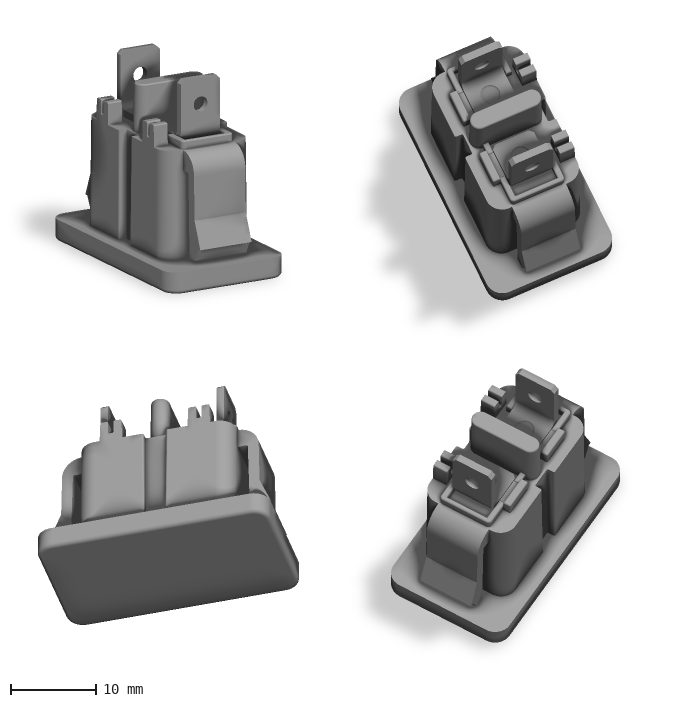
import cadquery as cq
import math

FLANGE_X = 28.3
FLANGE_Y = 16.0
FLANGE_Z = 2.7
FLANGE_CORNER = 2.05
FLANGE_EDGE = 0.48
FLANGE_DROP = 0.08

BODY_X = 19.07
BODY_Y = 12.0
BODY_TOP = 16.02
BODY_CORNER = 2.05
BODY_DRAFT = 0.5
NOTCH_WIDTH = 2.77
NOTCH_FLOOR_Y = 4.9
NOTCH_FILLET = 0.2

OVERLAP = 0.15

RIB_X = 2.45
RIB_Y = 9.23
RIB_TOP = 21.95
RIB_DRAFT = 1.2
RIB_EDGE = 0.2

TERMINAL_TOP = 23.9
TERMINAL_WIDTH = 5.32
TERMINAL_THICKNESS = 0.9
TERMINAL_BEND = 0.85
TERMINAL_CHAMFER = 0.48
BLADE_OUTER_X = 7.53
LEG_END_X = 1.75
BLADE_HOLE = 1.87
BLADE_HOLE_Z = 20.65
DIMPLE_X = 4.27
DIMPLE_TOP = 2.35
DIMPLE_FLOOR = 2.12
DIMPLE_DEPTH = 0.1

FRAME_OUTER_X = 9.25
FRAME_HALF_Y = 3.48
FRAME_END_WALL = 0.6
FRAME_SIDE_WALL = 0.74
FRAME_ARM_X = 5.8
FRAME_TOP = 17.06
FRAME_CORNER = 0.48
FRAME_EDGE = 0.2

TAB_OUTER_X = 6.2
TAB_INNER_X = 2.15
TAB_BACK_Y = 4.45
TAB_TOP = 17.55
PAD_INNER_X = 2.63
PAD_TOP = 16.95

PEG_OUTER_X = 6.74
PEG_INNER_X = 4.0
PEG_DRAFT = 0.08
PEG_BACK_Y = 4.0
PEG_TOP = 18.7
PEG_EDGE = 0.17
FORK_CENTRE_X = 5.38
FORK_WIDTH = 0.65
FORK_FLOOR = 16.92

SNAP_WIDTH = 6.95
SNAP_ROOT_X = 9.2
SNAP_BEND_X = 9.42
SNAP_SHOULDER_X = 12.0
SNAP_SHOULDER_Z = BODY_TOP - (SNAP_SHOULDER_X - SNAP_BEND_X)
SNAP_INNER_TOP = 13.53
SNAP_INNER_TOP_X = 10.67
SNAP_CORNER_FILLET = 0.17
HOOK_START_X = 12.1
HOOK_START_Z = 8.07
HOOK_TIP_X = 13.47
HOOK_TIP_Z = 4.78
HOOK_STEP_X = 13.0
HOOK_STEP_Z = 4.73
SNAP_END_OUTER_X = 12.25
SNAP_END_INNER_X = 10.95
SNAP_END_Z = 3.2


def box(x0, x1, y0, y1, z0, z1):
    """Axis-aligned block between two opposite corners."""
    return cq.Workplane("XY").box(x1 - x0, y1 - y0, z1 - z0, centered=False).translate((x0, y0, z0))


def make_flange():
    """Plate that is level up to the -Y edge of the snap arms and slopes down beyond it."""
    flange = cq.Workplane("XY").box(FLANGE_X, FLANGE_Y, FLANGE_Z, centered=(True, True, False))
    flange = flange.edges("|Z").fillet(FLANGE_CORNER).faces("<Z").edges().fillet(FLANGE_EDGE)
    slope = (
        cq.Workplane("YZ")
        .polyline([
            (-SNAP_WIDTH / 2, FLANGE_Z),
            (FLANGE_Y / 2, FLANGE_Z),
            (FLANGE_Y / 2, FLANGE_Z - FLANGE_DROP),
        ])
        .close()
        .extrude(FLANGE_X / 2, both=True)
    )
    return flange.cut(slope)


def make_block(top):
    """Drafted rounded block from just inside the flange up to the given height."""
    base = FLANGE_Z - OVERLAP
    block = (
        cq.Workplane("XY", origin=(0, 0, base))
        .rect(BODY_X, BODY_Y)
        .extrude(top - base, taper=BODY_DRAFT)
    )
    return block.edges("not(#Z)").fillet(BODY_CORNER)


def make_body():
    """Block with a notch, wider at the top, down the middle of each long side."""
    base = FLANGE_Z - OVERLAP
    notches = (
        cq.Workplane("XY", origin=(0, 0, BODY_TOP))
        .pushPoints([(0, NOTCH_FLOOR_Y + BODY_Y / 2), (0, -NOTCH_FLOOR_Y - BODY_Y / 2)])
        .rect(NOTCH_WIDTH, BODY_Y)
        .extrude(base - BODY_TOP, taper=BODY_DRAFT)
    )
    notch_uprights = cq.selectors.BoxSelector(
        (-NOTCH_WIDTH, -BODY_Y, base + OVERLAP), (NOTCH_WIDTH, BODY_Y, BODY_TOP - OVERLAP)
    )
    return make_block(BODY_TOP).cut(notches).edges(notch_uprights).fillet(NOTCH_FILLET)


def make_rib():
    """Tall drafted wall with round ends, standing between the terminals."""
    rib = (
        cq.Workplane("XY", origin=(0, 0, BODY_TOP - OVERLAP))
        .slot2D(RIB_Y, RIB_X, 90)
        .extrude(RIB_TOP - BODY_TOP + OVERLAP, taper=RIB_DRAFT)
    )
    return rib.faces(">Z").edges().fillet(RIB_EDGE)


def make_terminal():
    """Blade standing on a flat leg, joined by a round bend (+X side)."""
    blade_inner = BLADE_OUTER_X - TERMINAL_THICKNESS
    leg_top = BODY_TOP + TERMINAL_THICKNESS
    outer_bend = TERMINAL_BEND + TERMINAL_THICKNESS
    bend_x = blade_inner - TERMINAL_BEND
    bend_z = leg_top + TERMINAL_BEND
    diagonal = math.sqrt(0.5)
    terminal = (
        cq.Workplane("XZ")
        .moveTo(LEG_END_X, BODY_TOP)
        .lineTo(bend_x, BODY_TOP)
        .threePointArc(
            (bend_x + outer_bend * diagonal, bend_z - outer_bend * diagonal), (BLADE_OUTER_X, bend_z)
        )
        .lineTo(BLADE_OUTER_X, TERMINAL_TOP)
        .lineTo(blade_inner, TERMINAL_TOP)
        .lineTo(blade_inner, bend_z)
        .threePointArc(
            (bend_x + TERMINAL_BEND * diagonal, bend_z - TERMINAL_BEND * diagonal), (bend_x, leg_top)
        )
        .lineTo(LEG_END_X, leg_top)
        .close()
        .extrude(TERMINAL_WIDTH / 2, both=True)
    )
    terminal = terminal.faces(">Z").edges("|X").chamfer(TERMINAL_CHAMFER)
    terminal = terminal.faces("<X").edges("|Z").chamfer(TERMINAL_CHAMFER)
    hole = (
        cq.Workplane("YZ", origin=(blade_inner, 0, BLADE_HOLE_Z))
        .circle(BLADE_HOLE / 2)
        .extrude(TERMINAL_THICKNESS)
    )
    dimple = (
        cq.Workplane("XY", origin=(DIMPLE_X, 0, leg_top - DIMPLE_DEPTH))
        .circle(DIMPLE_FLOOR / 2)
        .workplane(offset=DIMPLE_DEPTH)
        .circle(DIMPLE_TOP / 2)
        .loft()
    )
    return terminal.cut(hole).cut(dimple)


def make_frame():
    """Low wall on three sides of the terminal, its +Y arm running in to the rib (+X side)."""
    base = BODY_TOP - OVERLAP
    inner_y = FRAME_HALF_Y - FRAME_SIDE_WALL
    frame = box(0, FRAME_OUTER_X, -FRAME_HALF_Y, FRAME_HALF_Y, base, FRAME_TOP)
    frame = frame.edges("|Z and >X").fillet(FRAME_CORNER)
    frame = frame.cut(box(0, FRAME_OUTER_X - FRAME_END_WALL, -inner_y, inner_y, base, FRAME_TOP))
    frame = frame.cut(box(0, FRAME_ARM_X, -FRAME_HALF_Y, -inner_y, base, FRAME_TOP))
    frame = frame.cut(box(PAD_INNER_X, FRAME_ARM_X, inner_y, FRAME_HALF_Y, base, FRAME_TOP))
    frame = frame.faces(">Z").edges("not(<X)").fillet(FRAME_EDGE)
    return frame.union(box(PAD_INNER_X, FRAME_ARM_X, inner_y, FRAME_HALF_Y, base, PAD_TOP))


def make_tab():
    """Raised block against the back of the frame (+X side)."""
    tab = box(TAB_INNER_X, TAB_OUTER_X, FRAME_HALF_Y, TAB_BACK_Y, BODY_TOP - OVERLAP, TAB_TOP)
    return tab.edges("|Z and >Y").fillet(FRAME_EDGE).faces(">Z").edges().fillet(FRAME_EDGE)


def make_peg():
    """Drafted peg split into two prongs by a slot, its front flush with the body (+X side)."""
    peg = (
        cq.Workplane("XZ", origin=(0, -PEG_BACK_Y, 0))
        .polyline([
            (PEG_INNER_X, BODY_TOP),
            (PEG_OUTER_X, BODY_TOP),
            (PEG_OUTER_X - PEG_DRAFT, PEG_TOP),
            (PEG_INNER_X + PEG_DRAFT, PEG_TOP),
        ])
        .close()
        .extrude(BODY_Y / 2 - PEG_BACK_Y)
    )
    fork = box(
        FORK_CENTRE_X - FORK_WIDTH / 2, FORK_CENTRE_X + FORK_WIDTH / 2,
        -BODY_Y / 2, -PEG_BACK_Y, FORK_FLOOR, PEG_TOP,
    )
    fork = fork.faces("<Z").edges("|Y").fillet(PEG_EDGE)
    peg = peg.cut(fork).faces(">Z").edges("|Y").fillet(PEG_EDGE)
    return peg.intersect(make_block(PEG_TOP))


def make_snap():
    """Hooked spring arm hanging from the top of the body (+X side)."""
    bend_radius = SNAP_SHOULDER_X - SNAP_BEND_X
    diagonal = bend_radius * math.sqrt(0.5)
    inner_corner = cq.selectors.NearestToPointSelector((SNAP_INNER_TOP_X, 0, SNAP_INNER_TOP))
    snap = (
        cq.Workplane("XZ")
        .moveTo(SNAP_ROOT_X, BODY_TOP)
        .lineTo(SNAP_BEND_X, BODY_TOP)
        .threePointArc(
            (SNAP_BEND_X + diagonal, SNAP_SHOULDER_Z + diagonal), (SNAP_SHOULDER_X, SNAP_SHOULDER_Z)
        )
        .lineTo(HOOK_START_X, HOOK_START_Z)
        .lineTo(HOOK_TIP_X, HOOK_TIP_Z)
        .lineTo(HOOK_STEP_X, HOOK_STEP_Z)
        .lineTo(SNAP_END_OUTER_X, SNAP_END_Z)
        .lineTo(SNAP_END_INNER_X, SNAP_END_Z)
        .lineTo(SNAP_INNER_TOP_X, SNAP_INNER_TOP)
        .lineTo(SNAP_ROOT_X, SNAP_INNER_TOP)
        .close()
        .extrude(SNAP_WIDTH / 2, both=True)
    )
    return snap.edges("|Y").edges(inner_corner).fillet(SNAP_CORNER_FILLET)


result = make_flange().union(make_body()).union(make_rib())
for make_feature in (make_terminal, make_frame, make_tab, make_peg, make_snap):
    feature = make_feature()
    result = result.union(feature).union(feature.mirror("YZ"))